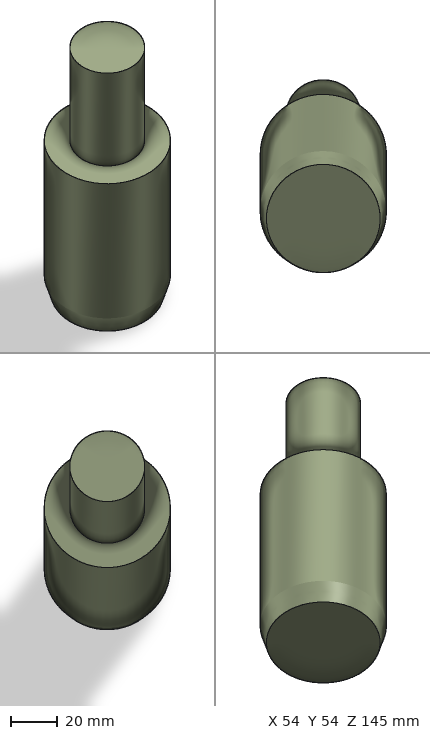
import cadquery as cq
import math

body_diameter = 54.0
shank_diameter = 32.0
total_height = 145.0
shank_length = 55.0
lead_in_height = 10.0
lead_in_angle = 15.0

body_radius = body_diameter / 2
shank_radius = shank_diameter / 2
shoulder_z = total_height - shank_length
tip_radius = body_radius - lead_in_height * math.tan(math.radians(lead_in_angle))


def make_pin():
    """Revolve the half profile (radius, height) about the Z axis."""
    half_profile = [
        (0, 0),
        (tip_radius, 0),
        (body_radius, lead_in_height),
        (body_radius, shoulder_z),
        (shank_radius, shoulder_z),
        (shank_radius, total_height),
        (0, total_height),
    ]
    return cq.Workplane("YZ").polyline(half_profile).close().revolve(360, (0, 0), (0, 1))


result = make_pin()